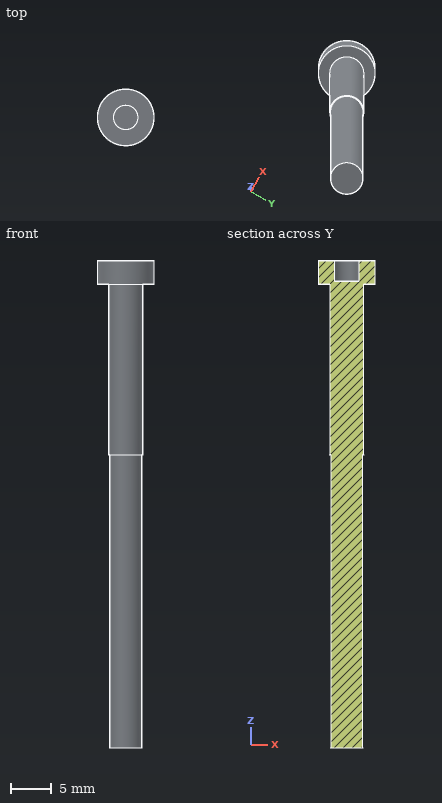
import cadquery as cq

overall_length = 60.0
head_diameter = 7.0
head_height = 2.9
shank_diameter = 4.2
shank_length = 21.0
tip_diameter = 4.0
recess_diameter = 3.0
recess_depth = 2.5

tip_length = overall_length - head_height - shank_length
head_base = tip_length + shank_length


def cylinder(diameter, base, height):
    """Upright cylinder on the Z axis, starting at the given level."""
    return cq.Workplane("XY").workplane(offset=base).circle(diameter / 2).extrude(height)


tip = cylinder(tip_diameter, 0, tip_length)
shank = cylinder(shank_diameter, tip_length, shank_length)
head = cylinder(head_diameter, head_base, head_height)
body = tip.union(shank).union(head)

recess = cylinder(recess_diameter, overall_length - recess_depth, recess_depth)

result = body.cut(recess)